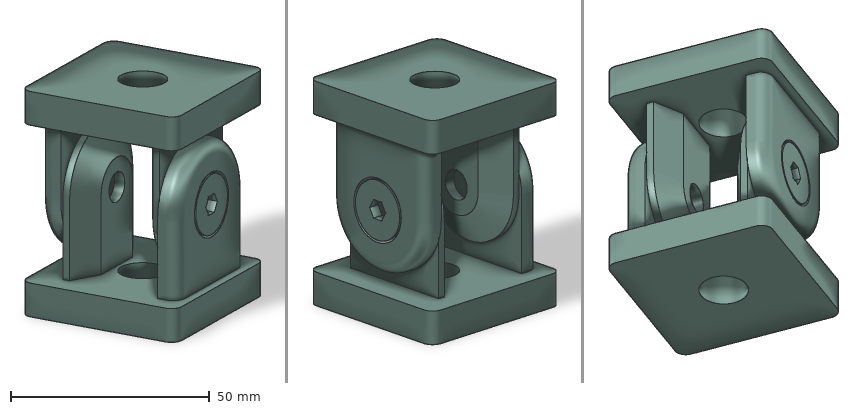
import cadquery as cq

height = 60.0
plate_side = 45.0
plate_thickness = 9.0
plate_corner_radius = 3.0
plate_bore_diameter = 12.5

outer_face_x = 20.0
ear_joint_x = 14.05
inner_face_x = 7.5
outer_ear_radius = 17.0
outer_ear_fillet = 3.5
inner_ear_radius = 16.0
inner_rim_thickness = 2.0
inner_face_radius = 8.0

head_diameter = 16.0
head_thickness = 4.0
head_seat_chamfer = 0.6
shank_diameter = 8.0
screw_end_recess = 3.0
hex_across_flats = 5.0
hex_depth = 3.0
hex_turn = 90

plate_inner_z = height / 2 - plate_thickness
screw_end_x = inner_face_x + screw_end_recess
inner_rim_x = ear_joint_x - inner_rim_thickness


def x_cylinder(diameter, start_x, end_x):
    """Cylinder on the pivot axis between two X positions."""
    return cq.Workplane("YZ", origin=(start_x, 0, 0)).circle(diameter / 2).extrude(end_x - start_x)


def ear_outline(radius, x):
    """Ear profile at an X position: round below the pivot, straight up to the plate."""
    return (
        cq.Workplane("YZ", origin=(x, 0, 0))
        .moveTo(-radius, plate_inner_z)
        .lineTo(-radius, 0)
        .threePointArc((0, -radius), (radius, 0))
        .lineTo(radius, plate_inner_z)
        .close()
    )


def make_plate():
    return (
        cq.Workplane("XY", origin=(0, 0, plate_inner_z))
        .rect(plate_side, plate_side)
        .extrude(plate_thickness)
        .edges("|Z")
        .fillet(plate_corner_radius)
        .faces(">Z")
        .workplane()
        .hole(plate_bore_diameter)
    )


def make_outer_ear():
    """Ear on the -X side, rounded on its outside edge and bored for the screw head."""
    ear = ear_outline(outer_ear_radius, -outer_face_x).extrude(outer_face_x - ear_joint_x)
    rounded_edges = ear.faces("<X").edges("not >Z")
    ear = rounded_edges.fillet(outer_ear_fillet)
    ear = ear.cut(x_cylinder(shank_diameter, -outer_face_x, -ear_joint_x))
    ear = ear.cut(x_cylinder(head_diameter, -outer_face_x, -outer_face_x + head_thickness))
    seat_chamfer = cq.Workplane(
        cq.Solid.makeCone(
            head_diameter / 2 + head_seat_chamfer,
            head_diameter / 2,
            head_seat_chamfer,
            cq.Vector(-outer_face_x, 0, 0),
            cq.Vector(1, 0, 0),
        )
    )
    return ear.cut(seat_chamfer)


def make_inner_ear():
    """Ear on the +X side, a straight rim followed by a taper towards the middle."""
    rim = ear_outline(inner_ear_radius, inner_rim_x).extrude(inner_rim_thickness)
    round_taper = cq.Workplane(
        cq.Solid.makeCone(
            inner_face_radius,
            inner_ear_radius,
            inner_rim_x - inner_face_x,
            cq.Vector(inner_face_x, 0, 0),
            cq.Vector(1, 0, 0),
        )
    )
    straight_taper = (
        cq.Workplane("XY")
        .polyline([
            (inner_face_x, -inner_face_radius),
            (inner_rim_x, -inner_ear_radius),
            (inner_rim_x, inner_ear_radius),
            (inner_face_x, inner_face_radius),
        ])
        .close()
        .extrude(plate_inner_z)
    )
    ear = rim.union(round_taper).union(straight_taper)
    return ear.cut(x_cylinder(shank_diameter, inner_face_x, ear_joint_x))


def make_bracket():
    """Upper bracket: plate, outer ear at -X and inner ear at +X."""
    return make_plate().union(make_outer_ear()).union(make_inner_ear())


def make_screw():
    """Screw at -X with a flat head and a hexagon socket."""
    head = x_cylinder(head_diameter, -outer_face_x, -outer_face_x + head_thickness)
    shank = x_cylinder(shank_diameter, -outer_face_x + head_thickness, -screw_end_x)
    socket = (
        cq.Workplane("YZ", origin=(-outer_face_x, 0, 0))
        .polygon(6, hex_across_flats, circumscribed=True)
        .extrude(hex_depth)
        .rotate((0, 0, 0), (1, 0, 0), hex_turn)
    )
    return head.union(shank).cut(socket)


brackets = []
screws = []
for turn in (0, 180):
    brackets.append(make_bracket().rotate((0, 0, 0), (0, 1, 0), turn).val())
    screws.append(make_screw().rotate((0, 0, 0), (0, 1, 0), turn).val())

result = cq.Compound.makeCompound([*brackets, *screws])